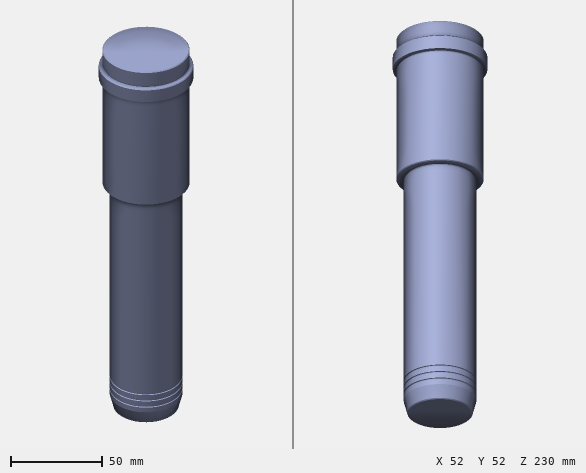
import cadquery as cq

total_length = 230.0
pin_radius = 20.0
sleeve_radius = 24.0
collar_radius = 26.0

sleeve_bottom = 144.0
collar_bottom = 212.0
collar_top = 220.0

edge_chamfer = 0.5

nose_height = 8.0
nose_tip_radius = 18.0

groove_width = 1.0
groove_floor_width = 0.5
groove_depth = 0.5

pin_groove_count = 3
pin_groove_pitch = 4.0
lowest_pin_groove = 11.5


def make_pin():
    """Round pin with a conical nose and a small chamfer on its lower edge."""
    return (
        cq.Workplane("XZ")
        .lineTo(nose_tip_radius - edge_chamfer, 0)
        .lineTo(nose_tip_radius, edge_chamfer)
        .lineTo(pin_radius, nose_height)
        .lineTo(pin_radius, sleeve_bottom)
        .lineTo(0, sleeve_bottom)
        .close()
        .revolve(360, (0, 0, 0), (0, 1, 0))
    )


def make_sleeve():
    """Thicker upper body, chamfered at both ends."""
    return (
        cq.Workplane("XY", origin=(0, 0, sleeve_bottom))
        .circle(sleeve_radius)
        .extrude(total_length - sleeve_bottom)
        .faces("<Z or >Z").edges().chamfer(edge_chamfer)
    )


def make_collar():
    """Flange around the sleeve, chamfered at its upper edge."""
    return (
        cq.Workplane("XY", origin=(0, 0, collar_bottom))
        .circle(collar_radius)
        .extrude(collar_top - collar_bottom)
        .faces(">Z").edges().chamfer(edge_chamfer)
    )


def groove_cutter(radius, middle_height, floor_width=groove_floor_width):
    """Ring that cuts one groove into a cylinder of the given radius."""
    floor_radius = radius - groove_depth
    return (
        cq.Workplane("XZ")
        .moveTo(radius, middle_height - groove_width / 2)
        .lineTo(floor_radius, middle_height - floor_width / 2)
        .lineTo(floor_radius, middle_height + floor_width / 2)
        .lineTo(radius, middle_height + groove_width / 2)
        .close()
        .revolve(360, (0, 0, 0), (0, 1, 0))
    )


result = make_pin().union(make_sleeve()).union(make_collar())

for relief_middle in (collar_bottom - groove_width / 2, collar_top + groove_width / 2):
    result = result.cut(groove_cutter(sleeve_radius, relief_middle))

sleeve_relief_middle = sleeve_bottom - groove_width / 2
result = result.cut(groove_cutter(pin_radius, sleeve_relief_middle, floor_width=groove_width))

for index in range(pin_groove_count):
    groove_middle = lowest_pin_groove + index * pin_groove_pitch
    result = result.cut(groove_cutter(pin_radius, groove_middle))